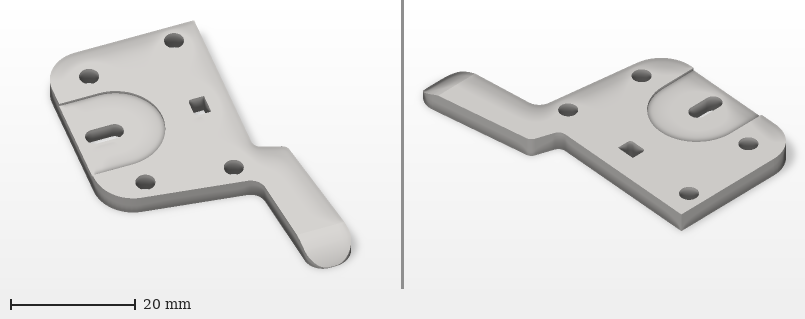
import cadquery as cq
import math

thickness = 3.5
tilt = 9.8
plate_depth = 26.35

front_right_corner = (26.7, -31.35)
arm_inner_corner = (34.3, -7.35)
arm_rear_foot = (27.95, -4.8)
arm_rear_corner = (30.5, -0.1)
arm_rear_rise = 0.4
arm_front_fall = 2.6

front_left_radius = 5.95
front_right_radius = 6.7
arm_inner_radius = 2.65
arm_foot_radius = 1.55
arm_rear_radius = 1.3
tip_rear_radius = 3.7
tip_front_radius = 3.25

ramp_start = 48.2
ramp_middle = 51.1
ramp_middle_drop = 1.15
tip_end = 53.7
tip_edge_height = 0.2

center_line = 17.35
hole_diameter = 3.2
hole_centers = [(3.0, 4.5), (31.4, 4.5), (5.5, 19.85), (29.55, 18.9)]
pocket_radius = 8.0
pocket_center_depth = 19.55
pocket_cut = 0.5
slot_width = 3.0
slot_travel = 3.45
slot_rear_center = 19.75
window_width = 3.5
window_height = 2.75
window_rear = 3.9
window_radius = 0.6

cut_margin = 5.75


def plate_point(along, forward):
    """Convert plate coordinates to X, Y."""
    angle = math.radians(tilt)
    x = along * math.cos(angle) - forward * math.sin(angle)
    y = -along * math.sin(angle) - forward * math.cos(angle)
    return x, y


def meet_tip_end(start, slope_degrees):
    """Follow a sloped arm edge from start to the line of the tip's end face."""
    angle = math.radians(tilt)
    slope = math.tan(math.radians(slope_degrees))
    start_along = start[0] * math.cos(angle) - start[1] * math.sin(angle)
    run = (tip_end - start_along) / (math.cos(angle) - slope * math.sin(angle))
    return start[0] + run, start[1] + run * slope


def tilted(body):
    """Turn a body built square to the plate into its final direction."""
    return body.rotate((0, 0, 0), (0, 0, 1), -tilt)


def make_blank():
    """Plate and arm as one slab with rounded vertical edges."""
    tip_rear = meet_tip_end(arm_rear_corner, arm_rear_rise)
    tip_front = meet_tip_end(arm_inner_corner, -arm_front_fall)
    front_left = plate_point(0, plate_depth)
    corners = [
        ((0, 0), 0),
        (arm_rear_foot, arm_foot_radius),
        (arm_rear_corner, arm_rear_radius),
        (tip_rear, tip_rear_radius),
        (tip_front, tip_front_radius),
        (arm_inner_corner, arm_inner_radius),
        (front_right_corner, front_right_radius),
        (front_left, front_left_radius),
    ]
    blank = cq.Workplane("XY").polyline([point for point, _ in corners]).close().extrude(thickness)
    for (x, y), radius in corners:
        if radius > 0:
            corner_edge = cq.selectors.NearestToPointSelector((x, y, thickness / 2))
            blank = blank.edges("|Z").edges(corner_edge).fillet(radius)
    return blank


def make_ramp_cutter():
    """Material above the arc that slopes down to the tip's end."""
    reach = tip_end + cut_margin
    top = thickness + cut_margin
    profile = (
        cq.Workplane("XZ")
        .moveTo(ramp_start, thickness)
        .threePointArc((ramp_middle, thickness - ramp_middle_drop), (tip_end, tip_edge_height))
        .lineTo(reach, tip_edge_height)
        .lineTo(reach, top)
        .lineTo(ramp_start, top)
        .close()
    )
    return tilted(profile.extrude(plate_depth, both=True))


def make_holes():
    """Four round through holes."""
    centers = [plate_point(*center) for center in hole_centers]
    return cq.Workplane("XY").pushPoints(centers).circle(hole_diameter / 2).extrude(thickness)


def make_pocket():
    """Shallow round-ended recess, open at the front edge."""
    floor = cq.Workplane("XY").workplane(offset=thickness - pocket_cut)
    length = plate_depth + cut_margin - pocket_center_depth
    round_end = floor.center(center_line, -pocket_center_depth).circle(pocket_radius).extrude(pocket_cut)
    straight = (
        floor.center(center_line, -pocket_center_depth - length / 2)
        .rect(2 * pocket_radius, length)
        .extrude(pocket_cut)
    )
    return tilted(round_end.union(straight))


def make_slot():
    """Through slot on the pocket's center line."""
    slot = (
        cq.Workplane("XY")
        .center(center_line, -slot_rear_center - slot_travel / 2)
        .slot2D(slot_travel + slot_width, slot_width, 90)
        .extrude(thickness)
    )
    return tilted(slot)


def make_window():
    """Rectangular through window with its two front corners rounded."""
    window = (
        cq.Workplane("XY")
        .center(center_line, -window_rear - window_height / 2)
        .rect(window_width, window_height)
        .extrude(thickness)
        .faces("<Y")
        .edges("|Z")
        .fillet(window_radius)
    )
    return tilted(window)


result = make_blank()
for cutter in (make_ramp_cutter(), make_holes(), make_pocket(), make_slot(), make_window()):
    result = result.cut(cutter)